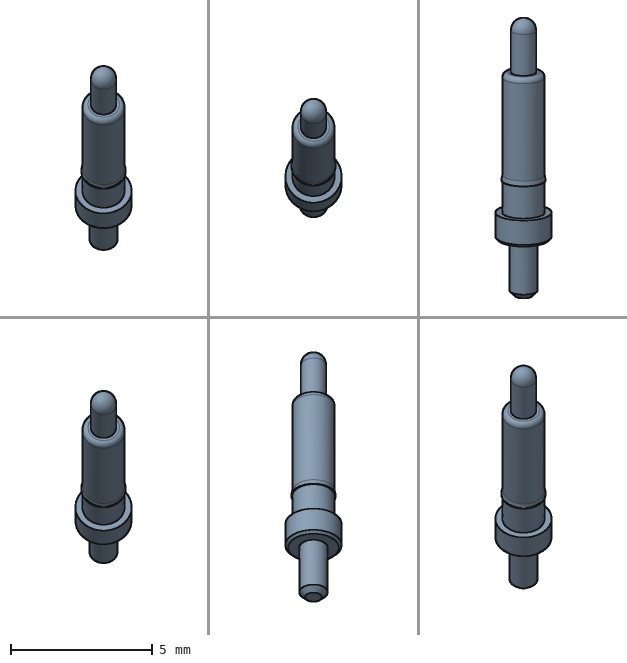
import cadquery as cq

total_length = 10.3
collar_diameter = 2.0

tail_radius = 0.5
tail_length = 2.1
tail_chamfer = 0.21

collar_radius = collar_diameter / 2
collar_height = 1.0
collar_chamfer = 0.1

sleeve_radius = 0.75
sleeve_length = 5.2
sleeve_fillet = 0.2
barb_radius = 0.79
barb_height = 0.21
barb_offset = 1.19

plunger_radius = 0.45

collar_bottom = tail_length
collar_top = collar_bottom + collar_height
barb_bottom = collar_top + barb_offset
sleeve_top = collar_top + sleeve_length
plunger_length = total_length - sleeve_top


def rod(radius, bottom, length):
    """Solid cylinder on the Z axis."""
    return cq.Workplane("XY").workplane(offset=bottom).circle(radius).extrude(length)


def barb():
    """Cone that narrows upward to the sleeve surface."""
    return cq.Workplane(
        cq.Solid.makeCone(barb_radius, sleeve_radius, barb_height, pnt=cq.Vector(0, 0, barb_bottom))
    )


tail = rod(tail_radius, 0, tail_length).faces("<Z").chamfer(tail_chamfer)
collar = rod(collar_radius, collar_bottom, collar_height).faces("<Z").chamfer(collar_chamfer)
sleeve = rod(sleeve_radius, collar_top, sleeve_length).faces(">Z").edges().fillet(sleeve_fillet)

dome_base = total_length - plunger_radius
plunger = rod(plunger_radius, sleeve_top, plunger_length - plunger_radius)
dome = cq.Workplane("XY").sphere(plunger_radius).translate((0, 0, dome_base))

result = tail.union(collar).union(sleeve).union(barb()).union(plunger).union(dome)